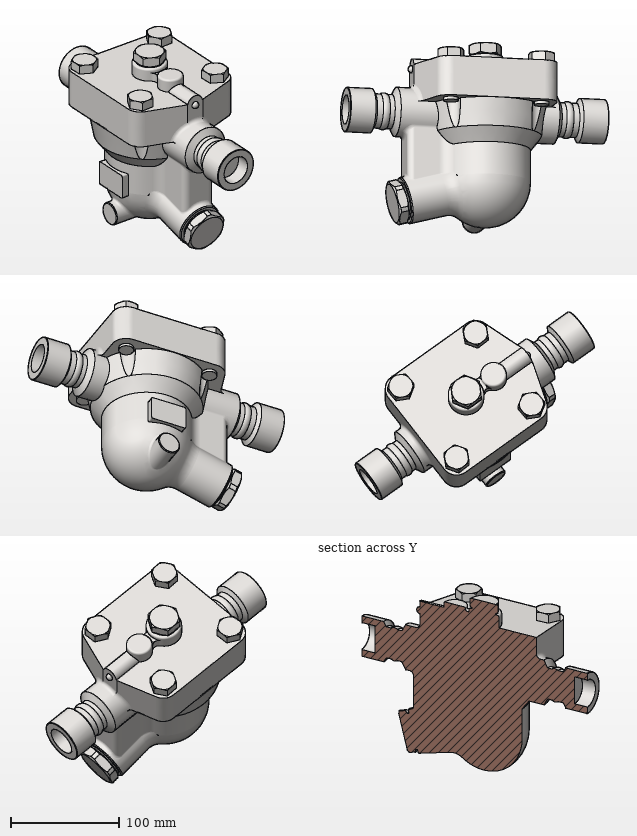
import cadquery as cq
import math


flange_bottom_z = 7.0
parting_z = 27.0
cover_top_z = 44.0
flange_half_width = 57.5
flange_corner_radius = 14.0
flange_nose_x = 70.0
flange_nose_half_width = 9.0
flange_nose_slope = 18.5

bolt_offset = 43.2
bolt_head_flats = 21.7
bolt_head_height = 9.0
bolt_head_chamfer = 0.8
bolt_head_turn = 2.5
bolt_diameter = 14.0
bolt_end_z = 4.2
nut_clearance_radius = 9.0
bolt_centers = [(x, y) for x in (-bolt_offset, bolt_offset) for y in (-bolt_offset, bolt_offset)]

dome_radius = 42.0
dome_center_z = -62.84
shoulder_bottom_z = -32.3
shoulder_top_z = -19.0
shoulder_top_radius = 52.2
neck_top_radius = 57.0

pipe_middle_x = 10.0
pipe_half_length = 123.0
hub_diameter = 46.0
hub_end = 75.5
hub_fillet = 4.0
pipe_diameter = 32.0
bead_middle = 87.4
bead_half_width = 3.3
bead_height = 1.2
nut_start = 99.0
nut_diameter = 41.5
nut_edge_chamfer = 0.5
pipe_cone_slope = 30.0
pipe_bore_diameter = 27.0
pipe_bore_depth = 14.0

main_boss_radius = 16.5
side_boss_radius = 12.0
side_boss_x = 31.8
boss_top_z = 56.4
boss_edge_fillet = 2.0
web_top_z = 52.5
web_side_radius = 6.0
web_seam_fillet = 1.8
vent_plug_flats = 26.6
vent_plug_height = 9.7
vent_plug_chamfer = 1.1
vent_neck_radius = 13.0
vent_neck_height = 0.9

ridge_radius = 8.7
ridge_axis_z = 42.0
ball_radius = 3.5
ball_z = 41.0

arm_slope = 15.0
arm_radius = 22.0
arm_length = 80.0
arm_root_fillet = 16.5
arm_end_chamfer = 1.0
arm_plug_flats = 38.0
arm_plug_diameter = 41.5
arm_plug_height = 10.0
arm_plug_chamfer = 1.5
arm_gasket_radius = 18.0
arm_gasket_height = 1.5

rib_half_width = 16.8
rib_bottom_z = -74.0
rib_end_x = 77.0
rib_corner_radius = 6.0
rib_root_fillet = 15.0
rib_hub_fillet = 4.0
rib_arm_fillet = 3.0

drain_diameter = 22.0
drain_z = -90.4
drain_end_y = -46.5
drain_chamfer = 0.8
drain_fillet = 2.5
pad_width = 35.5
pad_bottom_z = -66.8
pad_top_z = -42.8
pad_face_y = -45.0
pad_corner_radius = 1.5

head_chamfer_slope = 30.0
hexagon_half_angle = math.radians(30)

pick_slack = 0.1


def corner_diameter(flats):
    """Diameter of the circle through the corners of a hexagon."""
    return flats / math.cos(hexagon_half_angle)


def hexagon_head(flats, height, trim_diameter, chamfer, both_ends=False):
    """Hexagonal head standing on Z = 0, corners on +-X, trimmed by a turned and chamfered outline."""
    turned = cq.Workplane("XY").circle(trim_diameter / 2).extrude(height)
    chamfer_run = chamfer / math.tan(math.radians(head_chamfer_slope))
    turned = turned.faces(">Z").chamfer(chamfer, chamfer_run)
    if both_ends:
        turned = turned.faces("<Z").chamfer(chamfer, chamfer_run)
    return cq.Workplane("XY").polygon(6, corner_diameter(flats)).extrude(height).intersect(turned)


def make_flange(bottom_z, top_z):
    """Square plate with rounded corners and a blunt nose towards +X."""
    r = flange_corner_radius
    slope = math.radians(flange_nose_slope)
    center = flange_half_width - r
    mid_angle = (slope + math.pi / 2) / 2
    side_y = center + r * math.sin(slope)
    run = (side_y - flange_nose_half_width) * math.tan(slope)
    corner_x = flange_nose_x - run - r * math.cos(slope)
    half = (
        cq.Workplane("XY", origin=(0, 0, bottom_z))
        .moveTo(-flange_half_width, 0)
        .lineTo(-flange_half_width, center)
        .radiusArc((-center, flange_half_width), r)
        .lineTo(corner_x, flange_half_width)
        .threePointArc(
            (corner_x + r * math.cos(mid_angle), center + r * math.sin(mid_angle)),
            (corner_x + r * math.cos(slope), side_y),
        )
        .lineTo(flange_nose_x, flange_nose_half_width)
        .lineTo(flange_nose_x, 0)
        .close()
        .extrude(top_z - bottom_z)
    )
    return half.union(half.mirror("XZ"))


def make_hub():
    return (
        cq.Workplane("YZ", origin=(pipe_middle_x - hub_end, 0, 0))
        .circle(hub_diameter / 2)
        .extrude(2 * hub_end)
    )


def make_flange_with_hub():
    """Both flanges and the hub running through them, with fillets on the flange sides."""
    part = make_flange(flange_bottom_z, cover_top_z).union(make_hub())
    joints = [
        edge
        for edge in part.edges().vals()
        if flange_bottom_z + pick_slack < edge.Center().z < parting_z
        and edge.BoundingBox().zmax < hub_diameter / 2 + pick_slack
        and abs(edge.Center().x) < flange_nose_x + pick_slack
    ]
    return part.newObject(joints).fillet(hub_fillet)


def make_pipe_end():
    """Pipe end on the +X side of the valve middle, drawn about X = 0."""
    slope = math.tan(math.radians(pipe_cone_slope))
    hub_radius = hub_diameter / 2
    pipe_radius = pipe_diameter / 2
    nut_radius = nut_diameter / 2
    return (
        cq.Workplane("XY")
        .moveTo(hub_end - hub_fillet, 0)
        .lineTo(hub_end - hub_fillet, hub_radius)
        .lineTo(hub_end, hub_radius)
        .lineTo(hub_end + (hub_radius - pipe_radius) * slope, pipe_radius)
        .lineTo(bead_middle - bead_half_width, pipe_radius)
        .threePointArc(
            (bead_middle, pipe_radius + bead_height),
            (bead_middle + bead_half_width, pipe_radius),
        )
        .lineTo(nut_start - (nut_radius - pipe_radius) * slope, pipe_radius)
        .lineTo(nut_start, nut_radius)
        .lineTo(pipe_half_length - nut_edge_chamfer, nut_radius)
        .lineTo(pipe_half_length, nut_radius - nut_edge_chamfer)
        .lineTo(pipe_half_length, pipe_bore_diameter / 2)
        .lineTo(pipe_half_length - pipe_bore_depth, pipe_bore_diameter / 2)
        .lineTo(pipe_half_length - pipe_bore_depth, 0)
        .close()
        .revolve(360, (0, 0, 0), (1, 0, 0))
    )


def make_bowl():
    """Turned body from the dome up to the flange, with nut clearances under the bolts."""
    dome_half = dome_radius * math.sin(math.radians(45))
    bowl = (
        cq.Workplane("XZ")
        .moveTo(0, dome_center_z - dome_radius)
        .threePointArc((dome_half, dome_center_z - dome_half), (dome_radius, dome_center_z))
        .lineTo(dome_radius, shoulder_bottom_z)
        .lineTo(shoulder_top_radius, shoulder_top_z)
        .lineTo(neck_top_radius, flange_bottom_z)
        .lineTo(0, flange_bottom_z)
        .close()
        .revolve(360, (0, 0, 0), (0, 1, 0))
    )
    clearances = (
        cq.Workplane("XY", origin=(0, 0, shoulder_bottom_z))
        .pushPoints(bolt_centers)
        .circle(nut_clearance_radius)
        .extrude(flange_bottom_z - shoulder_bottom_z)
    )
    return bowl.cut(clearances)


def place_on_arm(shape):
    """Move a shape built along +Z to the strainer axis, its origin going to the dome centre."""
    return shape.rotate((0, 0, 0), (0, 1, 0), 90 + arm_slope).translate((0, 0, dome_center_z))


def make_arm():
    """Strainer arm with a root arc tangent to the dome."""
    arc_radius = arm_radius + arm_root_fillet
    arc_reach = dome_radius + arm_root_fillet
    arc_height = math.sqrt(arc_reach**2 - arc_radius**2)
    on_dome = dome_radius / arc_reach
    root_start = (arc_radius * on_dome, arc_height * on_dome)
    arm = (
        cq.Workplane("XZ")
        .lineTo(*root_start)
        .radiusArc((arm_radius, arc_height), arm_root_fillet)
        .lineTo(arm_radius, arm_length - arm_end_chamfer)
        .lineTo(arm_radius - arm_end_chamfer, arm_length)
        .lineTo(0, arm_length)
        .close()
        .revolve(360, (0, 0, 0), (0, 1, 0))
    )
    return place_on_arm(arm)


def make_arm_plug():
    gasket = cq.Workplane("XY").circle(arm_gasket_radius).extrude(arm_gasket_height)
    head = hexagon_head(arm_plug_flats, arm_plug_height, arm_plug_diameter, arm_plug_chamfer, True)
    plug = gasket.union(head.translate((0, 0, arm_gasket_height)))
    return place_on_arm(plug.translate((0, 0, arm_length)))


def rib_root_x():
    """X where the root arcs run into the flat rib sides."""
    root_y = rib_half_width + rib_root_fillet
    return math.sqrt((dome_radius + rib_root_fillet) ** 2 - root_y**2)


def make_rib():
    """Upright rib whose root arcs are tangent to the bowl."""
    root_y = rib_half_width + rib_root_fillet
    root_x = rib_root_x()
    on_bowl = dome_radius / (dome_radius + rib_root_fillet)
    corner_x = rib_end_x - rib_corner_radius
    corner_y = rib_half_width - rib_corner_radius
    half = (
        cq.Workplane("XY", origin=(0, 0, rib_bottom_z))
        .lineTo(root_x * on_bowl, -root_y * on_bowl)
        .radiusArc((root_x, -rib_half_width), rib_root_fillet)
        .lineTo(corner_x, -rib_half_width)
        .radiusArc((rib_end_x, -corner_y), -rib_corner_radius)
        .lineTo(rib_end_x, 0)
        .close()
        .extrude(-rib_bottom_z)
    )
    return half.union(half.mirror("XZ"))


def make_body():
    """Flanges, hub, bowl, arm and rib, with fillets where the rib meets the hub and the arm."""
    part = make_flange_with_hub().union(make_bowl()).union(make_arm()).union(make_rib())
    rib_middle_x = (rib_root_x() + rib_end_x) / 2
    side_reach = math.sqrt((hub_diameter / 2) ** 2 - rib_half_width**2)
    arm_reach = math.sqrt(arm_radius**2 - rib_half_width**2)
    slope = math.radians(arm_slope)
    arm_z = dome_center_z - rib_middle_x * math.tan(slope) + arm_reach / math.cos(slope)
    for joint_z, radius in ((-side_reach, rib_hub_fillet), (arm_z, rib_arm_fillet)):
        joint = cq.selectors.NearestToPointSelector((rib_middle_x, -rib_half_width, joint_z))
        part = part.edges(joint).fillet(radius)
    return part


def add_drain_boss(part):
    boss = (
        cq.Workplane("XZ", origin=(0, 0, drain_z))
        .circle(drain_diameter / 2)
        .extrude(-drain_end_y)
        .faces("<Y")
        .chamfer(drain_chamfer)
    )
    seam_z = drain_z + drain_diameter / 2
    seam = cq.selectors.BoxSelector(
        (-drain_diameter, drain_end_y + 2 * drain_chamfer, dome_center_z - dome_radius),
        (drain_diameter, 0, seam_z + pick_slack),
        boundingbox=True,
    )
    return part.union(boss).edges(seam).fillet(drain_fillet)


def make_name_pad():
    return (
        cq.Workplane("XY")
        .box(pad_width, -pad_face_y, pad_top_z - pad_bottom_z, centered=(True, False, False))
        .translate((0, pad_face_y, pad_bottom_z))
        .edges("|Y")
        .fillet(pad_corner_radius)
    )


def make_cover_boss(x, radius):
    return (
        cq.Workplane("XY", origin=(x, 0, cover_top_z))
        .circle(radius)
        .extrude(boss_top_z - cover_top_z)
        .faces(">Z")
        .edges()
        .fillet(boss_edge_fillet)
    )


def make_boss_web():
    """Web between the two cover bosses, its sides concave arcs tangent to both."""
    main_reach = main_boss_radius + web_side_radius
    side_reach = side_boss_radius + web_side_radius
    arc_x = (main_reach**2 - side_reach**2 + side_boss_x**2) / (2 * side_boss_x)
    arc_y = math.sqrt(main_reach**2 - arc_x**2)
    on_main = main_boss_radius / main_reach
    on_side = side_boss_radius / side_reach
    start = (arc_x * on_main, arc_y * on_main)
    end = (side_boss_x + (arc_x - side_boss_x) * on_side, arc_y * on_side)
    half = (
        cq.Workplane("XY", origin=(0, 0, cover_top_z))
        .lineTo(*start)
        .threePointArc((arc_x, arc_y - web_side_radius), end)
        .lineTo(side_boss_x, 0)
        .close()
        .extrude(web_top_z - cover_top_z)
    )
    return half.union(half.mirror("XZ"))


def make_vent_plug():
    neck = cq.Workplane("XY").circle(vent_neck_radius).extrude(vent_neck_height)
    trim_diameter = corner_diameter(vent_plug_flats)
    head = hexagon_head(vent_plug_flats, vent_plug_height, trim_diameter, vent_plug_chamfer, True)
    return neck.union(head.translate((0, 0, vent_neck_height))).translate((0, 0, boss_top_z))


def make_ridge():
    """Round ridge from the side boss to the flange nose, closed by a ball."""
    ridge = (
        cq.Workplane("YZ", origin=(side_boss_x, 0, ridge_axis_z))
        .circle(ridge_radius)
        .extrude(flange_nose_x - side_boss_x)
    )
    ball = cq.Workplane("XY").sphere(ball_radius).translate((flange_nose_x, 0, ball_z))
    return ridge.union(ball)


def make_bolt(x, y):
    """Bolt head on the cover and shank end under the flange, turned like its corner."""
    trim_diameter = corner_diameter(bolt_head_flats)
    head = hexagon_head(bolt_head_flats, bolt_head_height, trim_diameter, bolt_head_chamfer)
    shank = (
        cq.Workplane("XY", origin=(0, 0, bolt_end_z))
        .circle(bolt_diameter / 2)
        .extrude(cover_top_z - bolt_end_z)
    )
    corner_turn = math.degrees(math.atan2(y, x) - math.atan2(-bolt_offset, -bolt_offset))
    bolt = shank.union(head.translate((0, 0, cover_top_z)))
    return bolt.rotate((0, 0, 0), (0, 0, 1), corner_turn + bolt_head_turn).translate((x, y, 0))


def split_at_parting(part):
    """Keep the parting line of the two flanges as an edge on the single solid."""
    reach = 2 * pipe_half_length
    upper_block = cq.Workplane("XY", origin=(0, 0, parting_z)).rect(2 * reach, reach).extrude(reach)
    return part.cut(upper_block).union(part.intersect(upper_block), clean=False)


body = add_drain_boss(make_body())
body = body.union(make_name_pad())

pipe_end = make_pipe_end()
for end in (pipe_end, pipe_end.mirror("YZ")):
    body = body.union(end.translate((pipe_middle_x, 0, 0)))

body = body.union(make_arm_plug())
body = body.union(make_cover_boss(0, main_boss_radius))
body = body.union(make_cover_boss(side_boss_x, side_boss_radius))
body = body.union(make_boss_web())
web_seam = cq.selectors.NearestToPointSelector((side_boss_x - side_boss_radius, 0, web_top_z))
body = body.edges(web_seam).fillet(web_seam_fillet)
body = body.union(make_vent_plug())
body = body.union(make_ridge())

for bolt_x, bolt_y in bolt_centers:
    body = body.union(make_bolt(bolt_x, bolt_y))

result = split_at_parting(body)